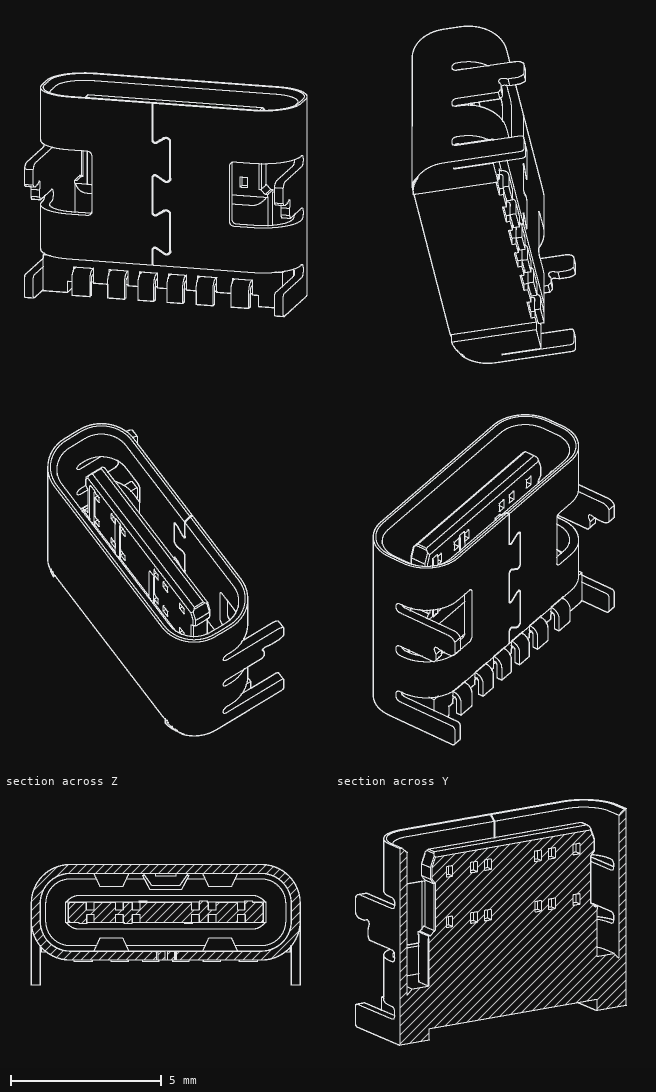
import cadquery as cq

shell_width = 8.94
shell_depth = 3.18
overall_depth = 4.01
shell_height = 6.8
corner_radius = 1.3
wall = 0.3
front_skirt = 1.23
rim_land = 0.09
mouth_bevel_height = 0.18

half_width = shell_width / 2
half_depth = shell_depth / 2
inner_half_width = half_width - wall
inner_half_depth = half_depth - wall
overcut = 0.09

window_bottom = 2.78
window_top = 4.99
window_edge_x = 2.38
window_fillet = 0.15
slot_end_y = 0.01
slot_fillet = 0.17
leg_root_y = slot_end_y - slot_fillet
leg_tip_y = half_depth - overall_depth
lower_leg_top = 0.8
lower_leg_fillet = 0.12
upper_leg_bottom = 3.18
upper_leg_top = 4.61

toe_top_start_y = -2.155
toe_top_arc_middle = (-2.32, 4.56)
toe_top_end_z = 4.44
toe_bottom_start_z = 3.92
toe_bottom_arc_middle = (-2.32, 3.835)
toe_bottom_end_y = -2.21
toe_bottom_z = 3.79
nick_slope_y = -1.89
nick_arc_start = (-1.71, 3.85)
nick_arc_middle = (-1.61, 3.83)
nick_arc_end = (-1.57, 3.72)
heel_y = -1.645
heel_top_z = 3.55
heel_bottom_z = 3.31
heel_end_y = -1.56

side_slots = (
    (lower_leg_top, front_skirt),
    (window_bottom, upper_leg_bottom),
    (upper_leg_top, window_top),
)

seam_x = -0.29
seam_gap = 0.04
tab_length = 0.62
tab_neck = 0.89
tab_head = 1.66
tab_centres = (2.4, 4.89)
tab_fillet = 0.12

back_cut_bottom_x = 4.0
back_cut_top_x = 3.43
back_cut_slope_top = 0.295

floor_z = 1.88
floor_chamfer = 0.18
base_half_width = 4.14
base_front_y = -1.32
foot_inner_x = 3.3
foot_height = 0.38
foot_inset = 0.04

notch_depth = 0.22
notch_centre_x = 1.81
notch_outer_width = 1.16
notch_inner_width = 0.75
notch_inner_y = 0.85
key_outer_width = 1.61
key_inner_width = 1.055
key_inner_y = 0.76
key_depth = 0.11
key_margin = 0.125
key_rib_half_width = 0.34
key_rib_front_y = 1.21

collar_half_width = 3.335
collar_half_depth = 0.56
collar_arc_centre_x = 2.85
collar_straight_top = 3.25
collar_top = 3.505
plate_half_width = 3.1
plate_half_depth = 0.34
plate_chamfer = 0.06
flare_bottom = 3.6
flare_top = 3.755
tongue_top = 6.44
tip_half_depth = 0.18
tip_height = 0.18
end_bevel = 0.045
tip_half_width = 3.06
ear_half_width = 3.24
ear_top = 5.945
ear_bottom = 5.54
ear_foot = 5.36

blades = ((-2.75, 6.03), (-1.25, 6.03), (0.75, 5.45))
blade_width = 0.27
blade_rise = 0.04
blade_tip_length = 0.13
pocket_centres = (0.98, 1.54, 2.51)
pocket_width = 0.25
pocket_height = 0.35
pocket_depth = 0.26
pocket_tops = (4.14, 5.88)

contacts = ((0.5, 0.545), (1.53, 0.58), (2.745, 0.62))
contact_front_y = -1.64
contact_top = 0.86
contact_thickness = 0.2
contact_bend = 0.31
contact_clearance = 0.04
contact_recess = 0.13


def box(x0, x1, y0, y1, z0, z1):
    return cq.Workplane("XY").box(x1 - x0, y1 - y0, z1 - z0, centered=False).translate((x0, y0, z0))


def both_sides(solid):
    return solid.union(solid.mirror("YZ"))


def rounded_prism(inset, z0, z1):
    """Solid with the plan outline of the shell, moved inward by the inset."""
    return (
        cq.Workplane("XY", origin=(0, 0, z0))
        .rect(shell_width - 2 * inset, shell_depth - 2 * inset)
        .extrude(z1 - z0)
        .edges("|Z")
        .fillet(corner_radius - inset)
    )


def front_profile(points, y0, y1):
    """Extrude an outline of (x, z) points from y0 to y1."""
    return cq.Workplane("XZ", origin=(0, y1, 0)).polyline(points).close().extrude(y1 - y0)


def mirrored_profile(right_points, y0, y1):
    """Front outline given by its right half, listed from bottom to top."""
    left_points = [(-x, z) for x, z in reversed(right_points)]
    return front_profile(right_points + left_points, y0, y1)


def tongue_section(front_points):
    """Prism along X, symmetric about Y = 0, from (distance, z) points of one half."""
    back_points = [(-y, z) for y, z in reversed(front_points)]
    return (
        cq.Workplane("YZ", origin=(-half_width, 0, 0))
        .polyline(front_points + back_points)
        .close()
        .extrude(shell_width)
    )


def make_seam():
    """Thin gap along the dovetailed edge between the two ends of the sheet."""
    points = [(-half_width, -overcut), (seam_x, -overcut)]
    for z in tab_centres:
        points += [
            (seam_x, z - tab_neck / 2),
            (seam_x + tab_length, z - tab_head / 2),
            (seam_x + tab_length, z + tab_head / 2),
            (seam_x, z + tab_neck / 2),
        ]
    points += [(seam_x, shell_height + overcut), (-half_width, shell_height + overcut)]
    left_half = front_profile(points, -half_depth - overcut, -inner_half_depth)
    corners = cq.selectors.BoxSelector(
        (seam_x - overcut, -shell_depth, 0), (seam_x + tab_length + overcut, 0, shell_height)
    )
    left_half = left_half.edges("|Y").edges(corners).fillet(tab_fillet)
    widened = left_half.faces("<Y").wires().toPending().offset2D(seam_gap).extrude(-wall - overcut)
    return widened.cut(left_half).translate((-seam_gap / 2, 0, 0))


def make_shell():
    bore = rounded_prism(wall, 0, shell_height)
    shell = rounded_prism(0, 0, shell_height).cut(bore)

    mouth = (
        rounded_prism(rim_land, shell_height - mouth_bevel_height, shell_height + overcut)
        .faces("<Z")
        .chamfer(mouth_bevel_height, wall - rim_land)
    )
    shell = shell.cut(mouth)

    shell = shell.cut(box(-half_width, half_width, -half_depth, leg_root_y, 0, front_skirt))
    window = box(-half_width, -window_edge_x, -half_depth, leg_root_y, window_bottom, window_top)
    window = window.edges("|Y and >X").fillet(window_fillet)
    shell = shell.cut(both_sides(window))

    for z0, z1 in side_slots:
        slot = box(-half_width, half_width, leg_root_y - slot_fillet, slot_end_y, z0, z1)
        shell = shell.cut(slot.edges("|X and >Y").fillet(slot_fillet))

    back_cut = mirrored_profile(
        [
            (back_cut_bottom_x, 0),
            (back_cut_top_x, back_cut_slope_top),
            (back_cut_top_x, foot_height),
        ],
        slot_end_y,
        half_depth,
    )
    return shell.cut(back_cut).cut(make_seam())


def make_legs():
    """Flat legs that continue the side walls forward to the board."""
    lower = (
        box(-half_width, -inner_half_width, leg_tip_y, leg_root_y, 0, lower_leg_top)
        .edges("|X and <Y")
        .fillet(lower_leg_fillet)
    )
    upper = (
        cq.Workplane("YZ", origin=(-half_width, 0, 0))
        .moveTo(leg_root_y, upper_leg_top)
        .lineTo(toe_top_start_y, upper_leg_top)
        .threePointArc(toe_top_arc_middle, (leg_tip_y, toe_top_end_z))
        .lineTo(leg_tip_y, toe_bottom_start_z)
        .threePointArc(toe_bottom_arc_middle, (toe_bottom_end_y, toe_bottom_z))
        .lineTo(nick_slope_y, toe_bottom_z)
        .lineTo(*nick_arc_start)
        .threePointArc(nick_arc_middle, nick_arc_end)
        .lineTo(heel_y, heel_top_z)
        .lineTo(heel_y, heel_bottom_z)
        .lineTo(heel_end_y, upper_leg_bottom)
        .lineTo(leg_root_y, upper_leg_bottom)
        .close()
        .extrude(wall)
    )
    return both_sides(upper.union(lower))


def floor_notch(centre_x, outer_width, inner_width, inner_y, depth):
    """Cutter for a trapezoid pocket in the floor, widening toward the back wall."""
    return (
        cq.Workplane("XY", origin=(centre_x, 0, floor_z - depth))
        .polyline(
            [
                (-outer_width / 2, inner_half_depth),
                (-inner_width / 2, inner_y),
                (inner_width / 2, inner_y),
                (outer_width / 2, inner_half_depth),
            ]
        )
        .close()
        .extrude(depth)
    )


def make_housing():
    body = rounded_prism(wall, 0, floor_z).faces(">Z").chamfer(floor_chamfer)
    body = body.cut(box(-half_width, half_width, -half_depth, slot_end_y, 0, front_skirt))
    base = box(-base_half_width, base_half_width, base_front_y, slot_end_y, 0, front_skirt)
    feet = rounded_prism(foot_inset, 0, foot_height)
    feet = feet.intersect(box(-base_half_width, base_half_width, 0, half_depth, 0, foot_height))
    housing = body.union(base).union(feet)
    housing = housing.cut(
        box(-foot_inner_x, foot_inner_x, -half_depth, half_depth, 0, foot_height)
    )

    side_notch = floor_notch(
        notch_centre_x, notch_outer_width, notch_inner_width, notch_inner_y, notch_depth
    )
    side_notches = both_sides(side_notch)
    housing = housing.cut(side_notches).cut(side_notches.mirror("XZ"))
    key = floor_notch(0, key_outer_width, key_inner_width, key_inner_y, key_depth)
    deep_key = floor_notch(
        0,
        key_outer_width - key_margin,
        key_inner_width - key_margin,
        key_inner_y + key_margin,
        notch_depth,
    )
    housing = housing.cut(key).cut(deep_key)
    return housing.union(
        box(
            -key_rib_half_width,
            key_rib_half_width,
            key_rib_front_y,
            inner_half_depth,
            floor_z - notch_depth,
            floor_z - floor_chamfer,
        )
    )


def make_tongue():
    collar = (
        cq.Workplane("XY", origin=(0, 0, floor_z))
        .slot2D(2 * (collar_arc_centre_x + collar_half_depth), 2 * collar_half_depth)
        .extrude(collar_top - floor_z)
    )
    collar_section = tongue_section(
        [
            (collar_half_depth, floor_z),
            (collar_half_depth, collar_straight_top),
            (plate_half_depth, collar_top),
        ]
    )
    collar = collar.intersect(collar_section)
    collar = collar.intersect(
        box(-collar_half_width, collar_half_width, -half_depth, half_depth, floor_z, collar_top)
    )

    flare = mirrored_profile(
        [
            (collar_half_width, collar_top),
            (collar_half_width, flare_bottom),
            (plate_half_width + flare_top - flare_bottom, flare_bottom),
            (plate_half_width, flare_top),
        ],
        -plate_half_depth,
        plate_half_depth,
    )

    right_end = [
        (plate_half_width, flare_bottom),
        (plate_half_width, ear_foot),
        (ear_half_width, ear_bottom),
        (ear_half_width, ear_top),
        (tip_half_width, tongue_top - end_bevel),
        (tip_half_width - end_bevel, tongue_top),
    ]
    plate = mirrored_profile(right_end, -plate_half_depth, plate_half_depth)
    end_edges = cq.selectors.BoxSelector(
        (-half_width, -half_depth, flare_bottom + end_bevel), (half_width, half_depth, tongue_top - end_bevel)
    )
    plate = plate.faces("<Y or >Y").edges(end_edges).chamfer(plate_chamfer)
    plate_section = tongue_section(
        [
            (plate_half_depth, flare_bottom),
            (plate_half_depth, tongue_top - tip_height),
            (tip_half_depth, tongue_top),
        ]
    )
    plate = plate.intersect(plate_section)
    return add_blades_and_pockets(collar.union(flare).union(plate))


def add_blades_and_pockets(tongue):
    face_y = -plate_half_depth
    for centre in pocket_centres:
        for top in pocket_tops:
            pocket = both_sides(
                box(
                    centre - pocket_width / 2,
                    centre + pocket_width / 2,
                    face_y,
                    face_y + pocket_depth,
                    top - pocket_height,
                    top,
                )
            )
            tongue = tongue.cut(pocket).cut(pocket.mirror("XZ"))

    for centre, tip in blades:
        blade = box(
            centre - blade_width / 2, centre + blade_width / 2, face_y - blade_rise, 0, collar_top, tip
        )
        blade = blade.edges("|X and <Y and >Z").fillet(blade_tip_length)
        tongue = tongue.union(blade).union(blade.rotate((0, 0, 0), (0, 0, 1), 180))
    return tongue


def make_contact_recess(centre_x, width):
    """Slot in the front of the housing that leaves clearance around a contact."""
    half = width / 2 + contact_clearance
    back_y = base_front_y + contact_recess
    top = contact_top + contact_clearance
    return box(centre_x - half, centre_x + half, base_front_y, back_y, 0, top)


def make_contact(centre_x, width):
    """Strip that leaves the housing level and bends down to the board."""
    inner_bend = contact_bend - contact_thickness
    back_y = base_front_y + contact_recess
    straight_y = contact_front_y + contact_bend
    return (
        cq.Workplane("YZ", origin=(centre_x - width / 2, 0, 0))
        .moveTo(contact_front_y, 0)
        .lineTo(contact_front_y, contact_top - contact_bend)
        .radiusArc((straight_y, contact_top), contact_bend)
        .lineTo(back_y, contact_top)
        .lineTo(back_y, contact_top - contact_thickness)
        .lineTo(straight_y, contact_top - contact_thickness)
        .radiusArc((straight_y - inner_bend, contact_top - contact_bend), -inner_bend)
        .lineTo(straight_y - inner_bend, 0)
        .close()
        .extrude(width)
    )


housing = make_housing().union(make_tongue())
for centre, width in contacts:
    housing = housing.cut(both_sides(make_contact_recess(centre, width)))
    housing = housing.union(both_sides(make_contact(centre, width)))

result = make_shell().union(make_legs()).union(housing)